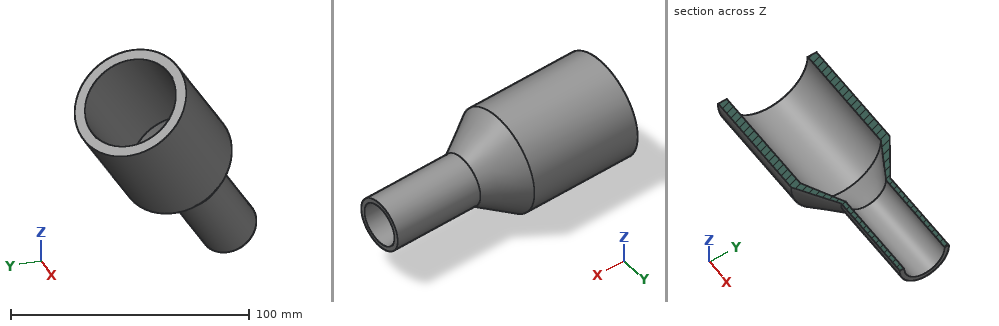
import cadquery as cq

total_length = 118.0
large_length = 55.0
small_length = 44.0
large_outer_diameter = 50.0
large_bore_diameter = 40.8
small_outer_diameter = 25.0
small_bore_diameter = 20.4

cone_start = large_length
cone_end = total_length - small_length


def stepped_cone(large_diameter, small_diameter):
    """Solid of revolution: large cylinder, cone, then small cylinder."""
    large_radius = large_diameter / 2
    small_radius = small_diameter / 2
    return (
        cq.Workplane("XY")
        .moveTo(0, 0)
        .lineTo(0, large_radius)
        .lineTo(cone_start, large_radius)
        .lineTo(cone_end, small_radius)
        .lineTo(total_length, small_radius)
        .lineTo(total_length, 0)
        .close()
        .revolve(360, (0, 0, 0), (1, 0, 0))
    )


outer_body = stepped_cone(large_outer_diameter, small_outer_diameter)
bore = stepped_cone(large_bore_diameter, small_bore_diameter)

result = outer_body.cut(bore)